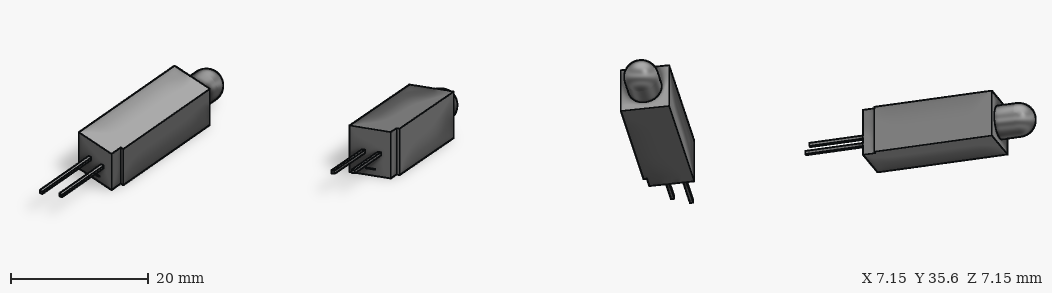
import cadquery as cq

total_length = 35.6

housing_width = 7.15
housing_length = 19.95

lens_radius = 2.5
lens_cylinder_length = 2.92
lens_length = lens_cylinder_length + lens_radius

lead_thickness = 0.5
lead_pitch = 2.53
long_lead_length = total_length - housing_length - lens_length
short_lead_length = long_lead_length - 1.5

step_width = 0.5
step_length = 1.92

slot_width = 1.5
slot_height = 0.1
slot_depth = 0.1
slot_x = -0.2
slot_z = -2.55

half_width = housing_width / 2


def make_housing():
    """Block with the stepped rear edge and the slot in its rear face."""
    block = cq.Workplane("XY").box(
        housing_width, housing_length, housing_width, centered=(True, False, True)
    )
    step = (
        cq.Workplane("XY")
        .box(step_width, step_length, housing_width, centered=(False, False, True))
        .translate((half_width - step_width, 0, 0))
    )
    slot = (
        cq.Workplane("XY")
        .box(slot_width, slot_depth, slot_height, centered=(True, False, True))
        .translate((slot_x, 0, slot_z))
    )
    return block.cut(step).cut(slot)


def make_lens():
    """Half profile of the domed lens, revolved about the Y axis."""
    dome_start = housing_length + lens_cylinder_length
    lens_tip = housing_length + lens_length
    return (
        cq.Workplane("XY")
        .moveTo(0, housing_length)
        .lineTo(lens_radius, housing_length)
        .lineTo(lens_radius, dome_start)
        .radiusArc((0, lens_tip), -lens_radius)
        .close()
        .revolve(360, (0, 0, 0), (0, 1, 0))
    )


def make_lead(x, length):
    """Square wire running from the rear face towards -Y."""
    return (
        cq.Workplane("XY")
        .box(lead_thickness, length, lead_thickness)
        .translate((x, -length / 2, 0))
    )


result = (
    make_housing()
    .union(make_lens())
    .union(make_lead(-lead_pitch / 2, long_lead_length))
    .union(make_lead(lead_pitch / 2, short_lead_length))
)